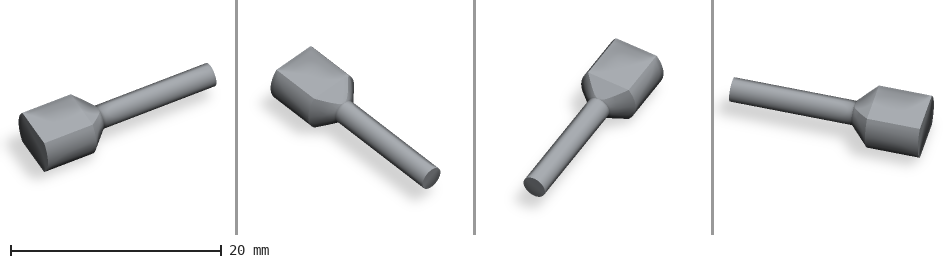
import cadquery as cq

total_length = 19.0
pin_length = 12.0
taper_length = 1.8
collar_length = total_length - pin_length - taper_length
taper_end = collar_length + taper_length

collar_radius = 3.0
collar_height = 4.0
pin_radius = 1.18
half_height = collar_height / 2


def round_head():
    """Round collar and conical taper, revolved about the Y axis."""
    return (
        cq.Workplane("XY")
        .lineTo(collar_radius, 0)
        .lineTo(collar_radius, collar_length)
        .lineTo(pin_radius, taper_end)
        .lineTo(0, taper_end)
        .close()
        .revolve(360, (0, 0), (0, 1))
    )


def flat_envelope():
    """Side outline whose flats and sloping planes trim the round head."""
    return (
        cq.Workplane("YZ")
        .moveTo(0, -half_height)
        .lineTo(collar_length, -half_height)
        .lineTo(taper_end, -pin_radius)
        .lineTo(taper_end, pin_radius)
        .lineTo(collar_length, half_height)
        .lineTo(0, half_height)
        .close()
        .extrude(collar_radius * 2, both=True)
    )


def pin():
    """Solid round pin running from the taper to the far end."""
    return (
        cq.Workplane("XZ", origin=(0, taper_end, 0))
        .circle(pin_radius)
        .extrude(-pin_length)
    )


head = round_head().intersect(flat_envelope())
result = head.union(pin())